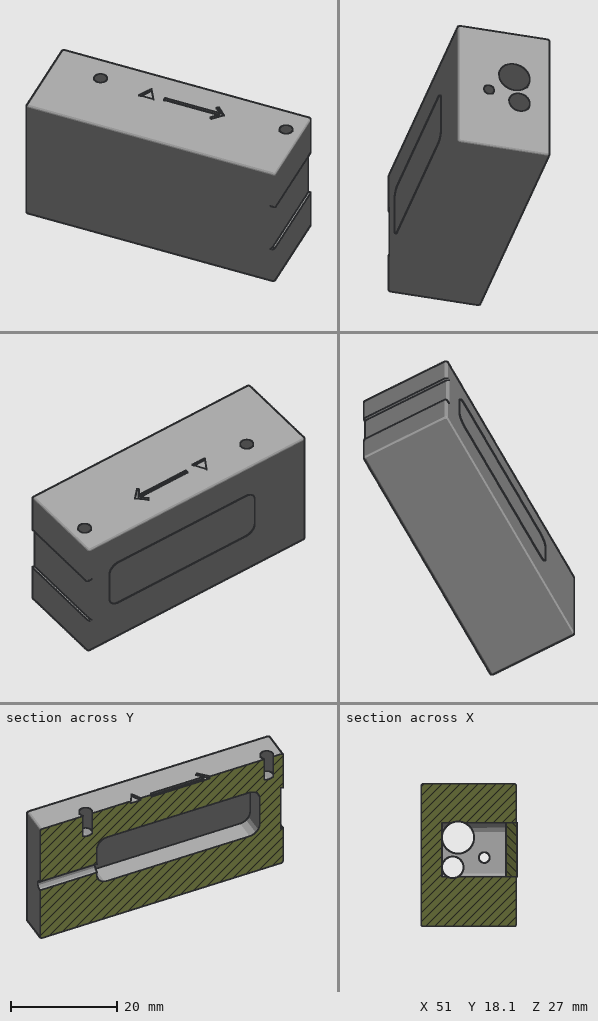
import cadquery as cq
import math

LENGTH = 51.0
DEPTH = 18.0
HEIGHT = 27.0
EDGE_RADIUS = 0.5
BACK_Y = DEPTH
TOP_Z = HEIGHT / 2

NOTCH_WIDTH = 10.0
NOTCH_DEPTH = 0.5

MAIN_PORT_DIAMETER = 6.0
MAIN_PORT_Z = 3.3
SECOND_PORT_DIAMETER = 4.05
SECOND_PORT_Z = -2.3
PILOT_PORT_DIAMETER = 2.0
PILOT_PORT_Z = -0.45
PILOT_PORT_Y = BACK_Y - 6.05

CHAMBER_START_X = 12.0
CHAMBER_END_X = 46.0
CHAMBER_DEPTH = 14.0
CHAMBER_CORNER_RADIUS = 2.1
CHAMBER_LENGTH = CHAMBER_END_X - CHAMBER_START_X
CHAMBER_CENTRE_X = (CHAMBER_START_X + CHAMBER_END_X) / 2
CHAMBER_TOP_Z = MAIN_PORT_Z + MAIN_PORT_DIAMETER / 2
CHAMBER_BOTTOM_Z = SECOND_PORT_Z - SECOND_PORT_DIAMETER / 2
CHAMBER_HEIGHT = CHAMBER_TOP_Z - CHAMBER_BOTTOM_Z
CHAMBER_CENTRE_Z = (CHAMBER_TOP_Z + CHAMBER_BOTTOM_Z) / 2
CHAMBER_FLOOR_Y = BACK_Y - CHAMBER_DEPTH
MAIN_PORT_Y = CHAMBER_FLOOR_Y + MAIN_PORT_DIAMETER / 2
SECOND_PORT_Y = CHAMBER_FLOOR_Y + SECOND_PORT_DIAMETER / 2

LID_INSERTION = 2.0
LID_STAND_OFF = 0.1

SCREW_HOLE_DIAMETER = 2.5
SCREW_HOLE_DEPTH = 5.0
SCREW_HOLE_POINT_ANGLE = 118.0
SCREW_HOLE_XS = (10.0, 47.95)
SCREW_HOLE_Y = BACK_Y - 5.2

ENGRAVING_DEPTH = 0.5
TRIANGLE_SIDE = 3.0
TRIANGLE_X = 20.05
TRIANGLE_BASE_Y = 11.1
ARROW_TAIL_X = 23.4
ARROW_TIP_X = 35.6
ARROW_Y = 12.0
ARROW_SHAFT_WIDTH = 0.65
ARROW_ARM_SPAN = 1.85
ARROW_ARM_WIDTH = 0.5


def make_block():
    """Block with the notch in its +X end and every outer convex edge rounded."""
    shoulder = NOTCH_WIDTH / 2
    notch_floor_x = LENGTH - NOTCH_DEPTH
    outline = [
        (0, -TOP_Z),
        (LENGTH, -TOP_Z),
        (LENGTH, -shoulder),
        (notch_floor_x, -shoulder),
        (notch_floor_x, shoulder),
        (LENGTH, shoulder),
        (LENGTH, TOP_Z),
        (0, TOP_Z),
    ]
    block = cq.Workplane("XZ").polyline(outline).close().extrude(-DEPTH)
    rims = block.faces("<Y or >Y").edges()
    outer_corners = block.edges("|Y").edges("<Z or >Z")
    return rims.add(outer_corners).fillet(EDGE_RADIUS)


def make_chamber_prism(start_y, end_y):
    """Prism along Y with the rounded outline of the chamber."""
    return (
        cq.Workplane("XZ", origin=(CHAMBER_CENTRE_X, start_y, CHAMBER_CENTRE_Z))
        .rect(CHAMBER_LENGTH, CHAMBER_HEIGHT)
        .extrude(start_y - end_y)
        .edges("|Y")
        .fillet(CHAMBER_CORNER_RADIUS)
    )


def make_port(diameter, y, z):
    """Round passage along X from the -X end into the chamber, past its corner rounding."""
    reach = CHAMBER_START_X + CHAMBER_CORNER_RADIUS
    return cq.Workplane("YZ", origin=(0, y, z)).circle(diameter / 2).extrude(reach)


def make_screw_hole(x):
    """Blind hole in the top face that ends in a drill point."""
    radius = SCREW_HOLE_DIAMETER / 2
    point_height = radius / math.tan(math.radians(SCREW_HOLE_POINT_ANGLE / 2))
    half_profile = [
        (0, 0),
        (radius, 0),
        (radius, -SCREW_HOLE_DEPTH),
        (0, -SCREW_HOLE_DEPTH - point_height),
    ]
    return (
        cq.Workplane("XZ", origin=(x, SCREW_HOLE_Y, TOP_Z))
        .polyline(half_profile)
        .close()
        .revolve(360, (0, 0), (0, 1))
    )


def engrave(points):
    """Shallow cutter under the top face with the given XY outline."""
    return cq.Workplane("XY", origin=(0, 0, TOP_Z)).polyline(points).close().extrude(-ENGRAVING_DEPTH)


def make_triangle():
    """Equilateral triangle that points toward +Y."""
    half_side = TRIANGLE_SIDE / 2
    apex_y = TRIANGLE_BASE_Y + half_side * math.sqrt(3)
    return engrave([
        (TRIANGLE_X - half_side, TRIANGLE_BASE_Y),
        (TRIANGLE_X + half_side, TRIANGLE_BASE_Y),
        (TRIANGLE_X, apex_y),
    ])


def make_arrow():
    """Arrow along +X with an open head of two arms at 45 degrees."""
    half_shaft = ARROW_SHAFT_WIDTH / 2
    arm_step = ARROW_ARM_WIDTH / math.sqrt(2)
    inner_tip_x = ARROW_TIP_X - 2 * arm_step
    arm_end_x = ARROW_TIP_X - ARROW_ARM_SPAN
    upper_half = [
        (ARROW_TAIL_X, half_shaft),
        (inner_tip_x - half_shaft, half_shaft),
        (arm_end_x - arm_step, ARROW_ARM_SPAN - arm_step),
        (arm_end_x, ARROW_ARM_SPAN),
    ]
    lower_half = [(x, -offset) for x, offset in reversed(upper_half)]
    outline = upper_half + [(ARROW_TIP_X, 0)] + lower_half
    return engrave([(x, ARROW_Y + offset) for x, offset in outline])


def make_housing():
    """Notched block with its chamber, ports, screw holes and engravings."""
    body = make_block().cut(make_chamber_prism(CHAMBER_FLOOR_Y, BACK_Y))
    ports = (
        (MAIN_PORT_DIAMETER, MAIN_PORT_Y, MAIN_PORT_Z),
        (SECOND_PORT_DIAMETER, SECOND_PORT_Y, SECOND_PORT_Z),
        (PILOT_PORT_DIAMETER, PILOT_PORT_Y, PILOT_PORT_Z),
    )
    for diameter, y, z in ports:
        body = body.cut(make_port(diameter, y, z))
    for x in SCREW_HOLE_XS:
        body = body.cut(make_screw_hole(x))
    return body.cut(make_triangle()).cut(make_arrow())


def make_lid():
    """Plug with the outline of the chamber that closes its mouth."""
    return make_chamber_prism(BACK_Y - LID_INSERTION, BACK_Y + LID_STAND_OFF)


housing = make_housing()
lid = make_lid()

result = cq.Compound.makeCompound([housing.solids().val(), lid.solids().val()])